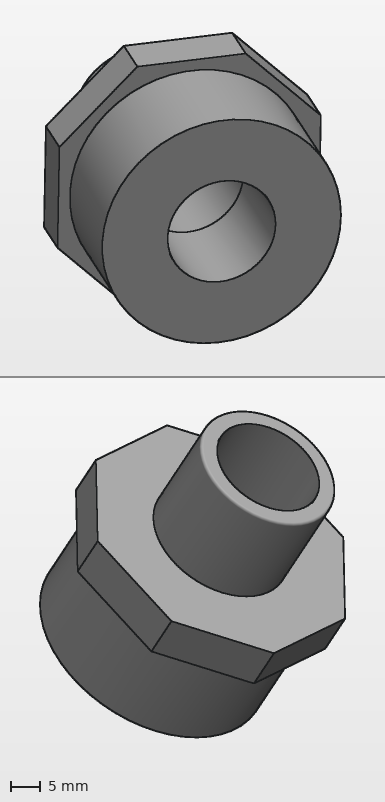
import cadquery as cq
import math


bore_diameter = 19.0
spigot_diameter = 25.0
sleeve_diameter = 42.0
spigot_length = 19.05
collar_width = 8.0
sleeve_length = 19.05
tip_rounding = 0.5

collar_sides = 8
collar_across_flats = 46.0
collar_tilt = 1.0

collar_start = spigot_length
sleeve_start = collar_start + collar_width
collar_across_corners = collar_across_flats / math.cos(math.pi / collar_sides)
half_side_angle = 180 / collar_sides


def cylinder(start, length, diameter):
    """Solid cylinder along +X that begins at x = start."""
    return cq.Workplane("YZ", origin=(start, 0, 0)).circle(diameter / 2).extrude(length)


def make_collar():
    """Octagonal prism with its flats nearly square to Y and Z."""
    return (
        cq.Workplane("YZ", origin=(collar_start, 0, 0))
        .polygon(collar_sides, collar_across_corners)
        .extrude(collar_width)
        .rotate((0, 0, 0), (1, 0, 0), half_side_angle - collar_tilt)
    )


def make_spigot_body():
    """Spigot with a rounded tip, joined to the collar and bored through."""
    spigot = cylinder(0, spigot_length, spigot_diameter).faces("<X").edges().fillet(tip_rounding)
    bore = cylinder(0, sleeve_start, bore_diameter)
    return spigot.union(make_collar()).cut(bore)


def make_sleeve():
    """Plain round sleeve against the back face of the collar."""
    bore = cylinder(sleeve_start, sleeve_length, bore_diameter)
    return cylinder(sleeve_start, sleeve_length, sleeve_diameter).cut(bore)


spigot_body = make_spigot_body()
sleeve = make_sleeve()

result = cq.Compound.makeCompound([spigot_body.val(), sleeve.val()])